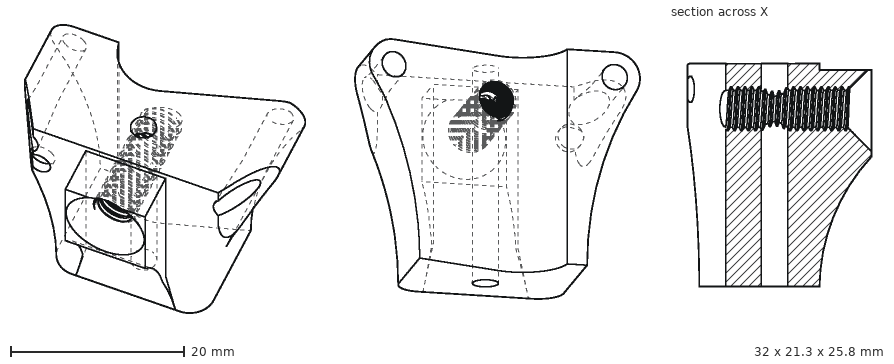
import cadquery as cq
import math

body_depth = 15.25
body_height = 25.75
foot_half_width = 9.75
edge_round = 3.0

ear_x = 13.0
ear_radius = 3.0
ear_z = body_height - ear_radius

ear_offset = foot_half_width - ear_x
flare_radius = (ear_z**2 + ear_offset**2 - ear_radius**2) / (2 * (ear_radius - ear_offset))
flare_center_x = foot_half_width + flare_radius

slant_front_x = 11.6
slant_side_y = 7.7

ear_hole_diameter = 3.0
ear_mouth_diameter = 4.0
ear_mouth_depth = 7.2

pad_diameter = 3.0
pad_x = -10.95
pad_z = 19.4
pad_recess = 1.25
pad_length = 2.0

notch_x = -1.95
notch_y = 16.0
notch_radius = 5.5
notch_slope_end_x = 14.1

pin_diameter = 3.0
pin_y = 5.2

boss_width = 10.0
boss_reach = 6.0
boss_top = 25.0
boss_flat_bottom = 15.0
boss_sweep_radius = 22.5
boss_foot_width = 12.5
boss_flare_top = 6.0

bore_z = 20.5
bore_diameter = 4.2
countersink_diameter = 9.8
thread_diameter = 5.0
thread_pitch = 0.8
thread_root_width = 0.6
thread_tip_width = 0.1
thread_overlap = 0.1
thread_start_depth = 2.0
thread_overrun = 1.25


def flare_point(angle):
    """Point on the right-hand flare, at an angle above its level start."""
    return (
        flare_center_x - flare_radius * math.cos(angle),
        flare_radius * math.sin(angle),
    )


def mirrored(point):
    return (-point[0], point[1])


def front_sketch(y):
    """Workplane at the given Y with local axes X and Z; a negative extrusion runs toward +Y."""
    return cq.Workplane("XZ", origin=(0, y, 0))


def rod(x, z, y_start, y_end, diameter):
    """Cylinder along Y."""
    return front_sketch(y_start).center(x, z).circle(diameter / 2).extrude(y_start - y_end)


def make_outline():
    """Body with flared sides and ears, square at the front."""
    tangent_angle = math.atan2(ear_z, flare_center_x - ear_x)
    tangent = flare_point(tangent_angle)
    middle = flare_point(tangent_angle / 2)
    ear_turn = (math.pi / 2 - tangent_angle) / 2
    ear_outer = (ear_x + ear_radius * math.cos(ear_turn), ear_z + ear_radius * math.sin(ear_turn))
    return (
        front_sketch(0)
        .moveTo(-foot_half_width, 0)
        .lineTo(foot_half_width, 0)
        .threePointArc(middle, tangent)
        .threePointArc(ear_outer, (ear_x, body_height))
        .lineTo(-ear_x, body_height)
        .threePointArc(mirrored(ear_outer), mirrored(tangent))
        .threePointArc(mirrored(middle), (-foot_half_width, 0))
        .close()
        .extrude(-body_depth)
    )


def make_rounded_block():
    """Flared block without ears, its front side edges rounded."""
    top_angle = math.asin(body_height / flare_radius)
    top = flare_point(top_angle)
    middle = flare_point(top_angle / 2)
    return (
        front_sketch(0)
        .moveTo(-foot_half_width, 0)
        .lineTo(foot_half_width, 0)
        .threePointArc(middle, top)
        .lineTo(*mirrored(top))
        .threePointArc(mirrored(middle), (-foot_half_width, 0))
        .close()
        .extrude(-body_depth)
        .faces("<Y")
        .edges("%CIRCLE")
        .fillet(edge_round)
    )


def make_plan():
    """Outline from above: slanted front corners and the notch in the back."""
    side_x = ear_x + ear_radius
    drop = body_depth - notch_y
    run = notch_slope_end_x - notch_x
    slope = math.asin(notch_radius / math.hypot(run, drop)) + math.atan2(drop, run)
    slope_start = (
        notch_x + notch_radius * math.sin(slope),
        notch_y - notch_radius * math.cos(slope),
    )
    notch_end_x = notch_x - math.sqrt(notch_radius**2 - drop**2)
    mid_angle = math.radians(225)
    notch_middle = (
        notch_x + notch_radius * math.cos(mid_angle),
        notch_y + notch_radius * math.sin(mid_angle),
    )
    return (
        cq.Workplane("XY")
        .moveTo(-slant_front_x, 0)
        .lineTo(slant_front_x, 0)
        .lineTo(side_x, slant_side_y)
        .lineTo(side_x, body_depth)
        .lineTo(notch_slope_end_x, body_depth)
        .lineTo(*slope_start)
        .threePointArc(notch_middle, (notch_end_x, body_depth))
        .lineTo(-side_x, body_depth)
        .lineTo(-side_x, slant_side_y)
        .close()
        .extrude(body_height)
    )


def make_boss():
    """Boss whose underside sweeps down to the front face, widening near the underside."""
    chord = math.hypot(boss_reach, boss_flat_bottom)
    sagitta = boss_sweep_radius - math.sqrt(boss_sweep_radius**2 - (chord / 2)**2)
    sweep_middle = (
        -boss_reach / 2 + sagitta * boss_flat_bottom / chord,
        boss_flat_bottom / 2 + sagitta * boss_reach / chord,
    )
    root_y = edge_round
    profile = (
        cq.Workplane("YZ")
        .moveTo(root_y, 0)
        .lineTo(0, 0)
        .threePointArc(sweep_middle, (-boss_reach, boss_flat_bottom))
        .lineTo(-boss_reach, boss_top)
        .lineTo(root_y, boss_top)
        .close()
        .extrude(boss_foot_width / 2, both=True)
    )
    half = boss_width / 2
    foot_half = boss_foot_width / 2
    outline = (
        front_sketch(-boss_reach)
        .polyline([
            (-foot_half, 0),
            (foot_half, 0),
            (half, boss_flare_top),
            (half, boss_top),
            (-half, boss_top),
            (-half, boss_flare_top),
        ])
        .close()
        .extrude(-(boss_reach + root_y))
    )
    return profile.intersect(outline)


def make_ear_hole(x):
    """Through hole with a mouth tapering down from the front."""
    hole = rod(x, ear_z, 0, body_depth, ear_hole_diameter)
    mouth = cq.Solid.makeCone(
        ear_mouth_diameter / 2, ear_hole_diameter / 2, ear_mouth_depth,
        cq.Vector(x, 0, ear_z), cq.Vector(0, 1, 0),
    )
    return hole.union(cq.Workplane(mouth))


def make_bore():
    """Countersunk bore along Y, without its thread."""
    sink_depth = (countersink_diameter - bore_diameter) / 2
    sink = cq.Solid.makeCone(
        countersink_diameter / 2, bore_diameter / 2, sink_depth,
        cq.Vector(0, -boss_reach, bore_z), cq.Vector(0, 1, 0),
    )
    bore = rod(0, bore_z, -boss_reach, body_depth, bore_diameter)
    return bore.union(cq.Workplane(sink))


def make_thread():
    """Helical groove from within the countersink to past the back."""
    start_y = -boss_reach + thread_start_depth
    root_radius = bore_diameter / 2 - thread_overlap
    tip_radius = thread_diameter / 2
    helix = cq.Wire.makeHelix(thread_pitch, body_depth + thread_overrun - start_y, root_radius)
    groove = (
        cq.Workplane("XZ")
        .polyline([
            (root_radius, -thread_root_width / 2),
            (tip_radius, -thread_tip_width / 2),
            (tip_radius, thread_tip_width / 2),
            (root_radius, thread_root_width / 2),
        ])
        .close()
        .sweep(cq.Workplane(helix), isFrenet=True)
    )
    return groove.rotate((0, 0, 0), (1, 0, 0), -90).translate((0, start_y, bore_z))


body = make_outline().intersect(make_rounded_block()).intersect(make_plan())

body = body.cut(rod(pad_x, pad_z, 0, pad_recess, pad_diameter))
body = body.union(rod(pad_x, pad_z, pad_recess, pad_recess + pad_length, pad_diameter))

result = body.union(make_boss())
for ear_side in (-1, 1):
    result = result.cut(make_ear_hole(ear_side * ear_x))
result = result.cut(make_bore()).cut(make_thread())
pin_hole = cq.Workplane("XY").center(0, pin_y).circle(pin_diameter / 2).extrude(body_height)
result = result.cut(pin_hole)